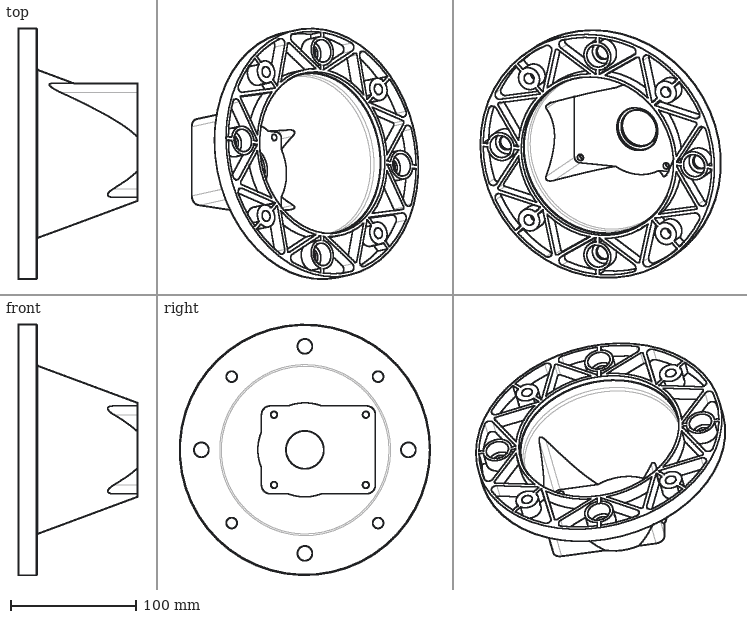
import cadquery as cq
import math

flange_diameter = 200.0
flange_thickness = 15.0
flange_edge_chamfer = 0.5

total_length = 95.0
cone_base_diameter = 134.5
cone_end_diameter = 75.0
cone_fillet = 1.5
pad_y_min = -34.5
pad_y_max = 56.2
pad_height = 70.0
pad_corner_radius = 7.0
wall = 2.5

end_wall = 6.0
mouth_diameter = 130.0
mouth_depth = 5.0
bore_diameter = 129.0
bore_depth = 14.8
bore_fillet = 10.0
cavity_end_diameter = 74.5

shaft_hole_diameter = 30.0
shaft_recess_diameter = 35.0
shaft_recess_depth = 3.0
screw_hole_diameter = 5.0
screw_y_min = -24.5
screw_y_max = 48.5
screw_z = 28.0

sector_count = 8
pocket_depth = flange_thickness - wall
pocket_inner_diameter = 135.2
pocket_outer_diameter = 195.0
rib_width = 2.8
rib_inner_node_radius = 64.8
rib_outer_node_radius = 95.2
lobe_corner_radius = 3.5
triangle_tip_radius = 1.5

bolt_circle_diameter = 165.0
large_boss_diameter = 23.0
large_hole_diameter = 11.5
counterbore_diameter = 18.0
counterbore_depth = pocket_depth
small_boss_diameter = 18.0
small_hole_diameter = 8.5

x_floor = total_length - end_wall
bolt_circle_radius = bolt_circle_diameter / 2
sector_angle = 360.0 / sector_count
half_sector = math.radians(sector_angle / 2)
rib_rise = rib_outer_node_radius * math.cos(half_sector) - rib_inner_node_radius
rib_run = rib_outer_node_radius * math.sin(half_sector)
rib_angle = math.atan2(rib_run, rib_rise)


def plane_at(x):
    """YZ plane at the given X, facing +X."""
    return cq.Workplane("YZ", origin=(x, 0, 0))


def cylinder(x, length, diameter, y=0.0, z=0.0):
    return plane_at(x).center(y, z).circle(diameter / 2).extrude(length)


def pad_block(inset, x_end):
    """Rounded rectangular prism from the open face to x_end, shrunk by inset on every side."""
    width = pad_y_max - pad_y_min - 2 * inset
    height = pad_height - 2 * inset
    block = plane_at(0).center((pad_y_min + pad_y_max) / 2, 0).rect(width, height).extrude(x_end)
    return block.edges("|X").fillet(pad_corner_radius - inset)


def revolved(profile):
    """Solid of revolution about X from (x, radius) points."""
    return cq.Workplane("XY").polyline(profile).close().revolve(360, (0, 0, 0), (1, 0, 0))


def edges_at(x, diameter=flange_diameter):
    """Selector for the edges lying in the plane at x, no wider than diameter."""
    tolerance = 0.2
    reach = diameter / 2 + tolerance
    lower = (x - tolerance, -reach, -reach)
    upper = (x + tolerance, reach, reach)
    return cq.selectors.BoxSelector(lower, upper, boundingbox=True)


def outer_body():
    flange = cylinder(0, flange_thickness, flange_diameter)
    flange = flange.faces(">X").edges().chamfer(flange_edge_chamfer)
    cone = revolved([
        (0, 0),
        (0, cone_base_diameter / 2),
        (flange_thickness, cone_base_diameter / 2),
        (total_length, cone_end_diameter / 2),
        (total_length, 0),
    ])
    body = flange.union(cone)
    body = body.edges(edges_at(flange_thickness, cone_base_diameter)).fillet(cone_fillet)
    return body.union(pad_block(0, total_length))


def cavity():
    bowl = revolved([
        (0, 0),
        (0, mouth_diameter / 2),
        (mouth_depth, mouth_diameter / 2),
        (mouth_depth, bore_diameter / 2),
        (bore_depth, bore_diameter / 2),
        (x_floor, cavity_end_diameter / 2),
        (x_floor, 0),
    ])
    bowl = bowl.edges(edges_at(bore_depth)).fillet(bore_fillet)
    return bowl.union(pad_block(wall, x_floor))


def pocket_prism(points):
    """Prism through points, limited to the ring between the flange's inner and outer walls."""
    ring = cylinder(0, pocket_depth, pocket_outer_diameter)
    ring = ring.cut(cylinder(0, pocket_depth, pocket_inner_diameter))
    return plane_at(0).polyline(points).close().extrude(pocket_depth).intersect(ring)


def lobe_pocket(boss_diameter):
    """Pocket around a bolt boss on the +Y axis, split by a radial rib."""
    apex_y = rib_inner_node_radius + rib_width / 2 / math.sin(rib_angle)
    far_z = pocket_outer_diameter / 2
    far_y = apex_y + far_z / math.tan(rib_angle)
    prism = pocket_prism([(apex_y, 0), (far_y, far_z), (far_y, -far_z)])
    outer_corners = prism.edges("|X").edges(cq.selectors.BoxSelector(
        (0, bolt_circle_radius, -far_z),
        (pocket_depth, far_y, far_z),
    ))
    prism = outer_corners.fillet(lobe_corner_radius)
    rib = plane_at(0).rect(flange_diameter, rib_width).extrude(pocket_depth)
    boss = cylinder(0, pocket_depth, boss_diameter, bolt_circle_radius)
    return prism.cut(rib).cut(boss)


def triangle_pocket():
    """Pocket between two slanted ribs, centred half a sector away from +Y."""
    half_tip_angle = rib_angle - half_sector
    tip_y = rib_outer_node_radius - rib_width / 2 / math.sin(half_tip_angle)
    base_half_width = tip_y * math.tan(half_tip_angle)
    prism = pocket_prism([(tip_y, 0), (0, base_half_width), (0, -base_half_width)])
    prism = prism.edges("|X").edges(">Y").fillet(triangle_tip_radius)
    return prism.rotate((0, 0, 0), (1, 0, 0), sector_angle / 2)


def large_bolt_hole():
    hole = cylinder(0, flange_thickness, large_hole_diameter, bolt_circle_radius)
    return hole.union(cylinder(0, counterbore_depth, counterbore_diameter, bolt_circle_radius))


def small_bolt_hole():
    return cylinder(0, flange_thickness, small_hole_diameter, bolt_circle_radius)


def cut_pockets_and_bolts(body):
    """Large counterbored bolts alternate with small plain ones around the flange."""
    triangle = triangle_pocket()
    large_sector = lobe_pocket(large_boss_diameter).union(triangle).union(large_bolt_hole())
    small_sector = lobe_pocket(small_boss_diameter).union(triangle).union(small_bolt_hole())
    for index in range(sector_count):
        cutter = large_sector if index % 2 == 0 else small_sector
        body = body.cut(cutter.rotate((0, 0, 0), (1, 0, 0), index * sector_angle))
    return body


def cut_end_wall_openings(body):
    body = body.cut(cylinder(x_floor, end_wall, shaft_hole_diameter))
    body = body.cut(cylinder(x_floor, shaft_recess_depth, shaft_recess_diameter))
    for y in (screw_y_min, screw_y_max):
        for z in (-screw_z, screw_z):
            body = body.cut(cylinder(x_floor, end_wall, screw_hole_diameter, y, z))
    return body


housing = outer_body().cut(cavity())
housing = cut_pockets_and_bolts(housing)
result = cut_end_wall_openings(housing)